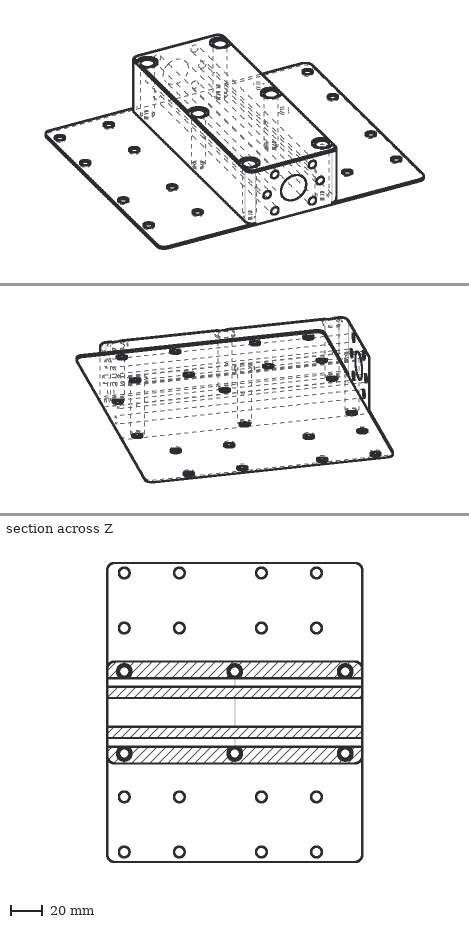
import cadquery as cq
import math

plate_length = 162.0
plate_width = 190.0
plate_thickness = 1.5
corner_radius = 5.0

total_height = 40.0
block_width = 64.8
block_height = total_height - plate_thickness
top_chamfer = 1.0

screw_hole_x = 70.1
screw_hole_y = 26.0
plate_hole_diameter = 6.6
block_hole_diameter = 9.0
counterbore_diameter = 13.0
counterbore_depth = 1.0

mounting_pitch = 35.0
mounting_group_gap = 2 * screw_hole_y
first_column_x = -screw_hole_x
second_column_x = first_column_x + mounting_pitch
third_column_x = second_column_x + mounting_group_gap
fourth_column_x = third_column_x + mounting_pitch
outer_row_y = 88.5
inner_row_y = outer_row_y - mounting_pitch

bore_diameter = 18.0
bore_height = total_height / 2
ring_hole_diameter = 5.3
ring_radius = 19.0
ring_angles = [0, 45, 135, 180, 225, 315]


def vertical_cylinders(points, diameter, bottom, height):
    """Upright cylinders at the given XY points."""
    base = cq.Workplane("XY").workplane(offset=bottom)
    return base.pushPoints(points).circle(diameter / 2).extrude(height)


def lengthwise_cylinders(points, diameter):
    """Cylinders along X over the full length, at the given YZ points."""
    return cq.Workplane("YZ").pushPoints(points).circle(diameter / 2).extrude(plate_length / 2, both=True)


def rounded_block(width, bottom, height):
    """Box of full length, centred on the Z axis, with rounded vertical edges."""
    box = cq.Workplane("XY").workplane(offset=bottom).rect(plate_length, width).extrude(height)
    return box.edges("|Z").fillet(corner_radius)


plate = rounded_block(plate_width, 0, plate_thickness)
block = rounded_block(block_width, plate_thickness, block_height).faces(">Z").chamfer(top_chamfer)
body = plate.union(block)

screw_points = [(x, y) for x in (-screw_hole_x, 0, screw_hole_x) for y in (-screw_hole_y, screw_hole_y)]
body = body.cut(vertical_cylinders(screw_points, plate_hole_diameter, 0, plate_thickness))
body = body.cut(vertical_cylinders(screw_points, block_hole_diameter, plate_thickness, block_height))
counterbore_floor = total_height - counterbore_depth
body = body.cut(vertical_cylinders(screw_points, counterbore_diameter, counterbore_floor, counterbore_depth))

mounting_columns = [first_column_x, second_column_x, third_column_x, fourth_column_x]
mounting_rows = [-outer_row_y, -inner_row_y, inner_row_y, outer_row_y]
mounting_points = [(x, y) for x in mounting_columns for y in mounting_rows]
body = body.cut(vertical_cylinders(mounting_points, plate_hole_diameter, 0, plate_thickness))

ring_points = [
    (ring_radius * math.cos(math.radians(angle)), bore_height + ring_radius * math.sin(math.radians(angle)))
    for angle in ring_angles
]
body = body.cut(lengthwise_cylinders([(0, bore_height)], bore_diameter))
result = body.cut(lengthwise_cylinders(ring_points, ring_hole_diameter))